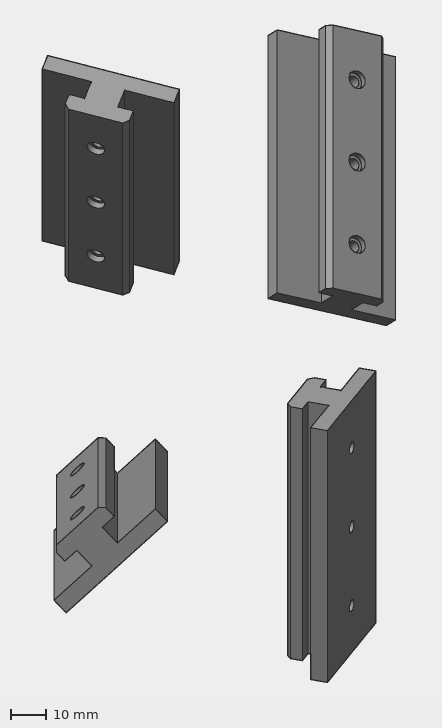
import cadquery as cq

length = 80.0
depth = 16.3

flange_width = 39.0
flange_thickness = 5.0
web_width = 9.8
head_width = 19.0
head_thickness = 5.0
head_chamfer = 1.5

hole_diameter = 3.5
counterbore_diameter = 5.3
counterbore_depth = 2.0
hole_spacing = 25.0
hole_count = 3


def slab(width, front, thickness):
    """Full-length bar centred on X, starting at Y = front."""
    return cq.Workplane("XY").box(width, thickness, length, centered=(True, False, True)).translate((0, front, 0))


def rail_body():
    """Wide flange, narrow web and chamfered head; the head's outer face is at Y = 0."""
    head = slab(head_width, 0, head_thickness).faces("<Y").edges("|Z").chamfer(head_chamfer)
    web = slab(web_width, 0, depth)
    flange = slab(flange_width, depth - flange_thickness, flange_thickness)
    return head.union(web).union(flange)


def drill_holes(body):
    """Row of through holes, counterbored from the head's outer face."""
    return (
        body.faces("<Y")
        .workplane(origin=(0, 0, 0))
        .rarray(0.8, hole_spacing, 1, hole_count)
        .cboreHole(hole_diameter, counterbore_diameter, counterbore_depth)
    )


result = drill_holes(rail_body())